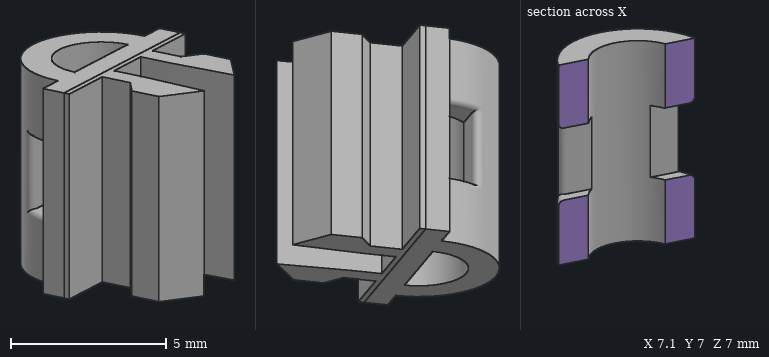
import cadquery as cq

overall_length = 7.1
height = 7.0
plate_width = 7.0

ring_outer_radius = 2.6
ring_wall = 1.0
ring_inner_radius = ring_outer_radius - ring_wall
plate_thickness = 0.8

window_depth = 1.19
window_height = 2.5
window_edge_radius = 0.2

sheet_thickness = 0.2
leg_inner_y = 0.8
leg_outer_y = 1.51
barb_start_x = 2.07
barb_peak_y = 2.165
barb_peak_start_x = 2.54
barb_peak_end_x = 3.57
leg_tip_x = overall_length - ring_outer_radius
leg_tip_y = 0.91


def slab(start_x, thickness):
    """Full-width, full-height plate whose front face is at start_x."""
    return (
        cq.Workplane("XY")
        .box(thickness, plate_width, height, centered=(False, True, True))
        .translate((start_x, 0, 0))
    )


def make_half_ring():
    """Half ring on the -X side, with windows rounded along their outer edges."""
    ring = (
        cq.Workplane("XY")
        .moveTo(0, ring_outer_radius)
        .threePointArc((-ring_outer_radius, 0), (0, -ring_outer_radius))
        .lineTo(0, -ring_inner_radius)
        .threePointArc((-ring_inner_radius, 0), (0, ring_inner_radius))
        .close()
        .extrude(height / 2, both=True)
    )
    window_cutter = (
        cq.Workplane("XY")
        .box(window_depth, 2 * ring_outer_radius, window_height)
        .translate((-window_depth / 2, 0, 0))
    )
    ring = ring.cut(window_cutter)

    mid_wall_radius = ring_inner_radius + ring_wall / 2
    edge_zone_height = window_height + window_edge_radius

    def is_outer_window_edge(edge):
        middle = edge.positionAt(0.5)
        beyond_mid_wall = all(
            (point.x**2 + point.y**2) ** 0.5 > mid_wall_radius
            for point in (edge.startPoint(), middle, edge.endPoint())
        )
        beside_window = abs(middle.z) < edge_zone_height / 2
        on_ring_end = abs(edge.startPoint().x) + abs(edge.endPoint().x) < window_edge_radius
        return beyond_mid_wall and beside_window and not on_ring_end

    outer_window_edges = [edge for edge in ring.edges().vals() if is_outer_window_edge(edge)]
    return ring.newObject(outer_window_edges).fillet(window_edge_radius)


def make_holder():
    """Half ring joined to the front face of its plate."""
    return slab(0, plate_thickness).union(make_half_ring())


def make_leg():
    """Barbed leg on the +Y side, tapering to a point at its tip."""
    return (
        cq.Workplane("XY")
        .polyline([
            (plate_thickness, leg_inner_y),
            (barb_start_x, leg_inner_y),
            (leg_tip_x, leg_tip_y),
            (barb_peak_end_x, barb_peak_y),
            (barb_peak_start_x, barb_peak_y),
            (barb_start_x, leg_outer_y),
            (plate_thickness, leg_outer_y),
        ])
        .close()
        .extrude(height / 2, both=True)
    )


def make_clip():
    """Backing sheet with a mirrored pair of barbed legs."""
    leg = make_leg()
    return slab(plate_thickness, sheet_thickness).union(leg).union(leg.mirror("XZ"))


holder = make_holder()
clip = make_clip()

result = cq.Compound.makeCompound([holder.val(), clip.val()])